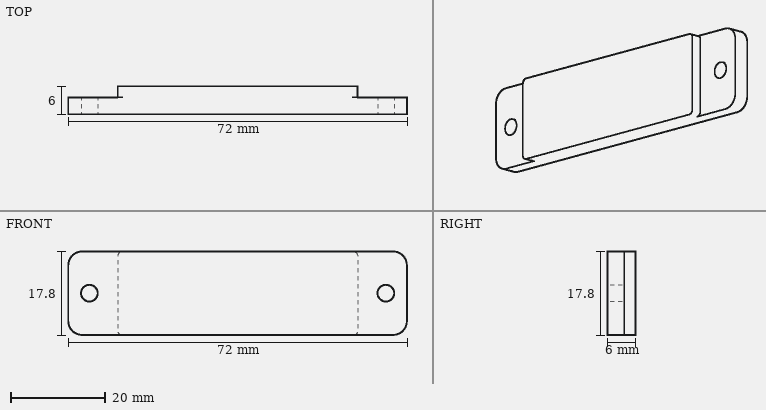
import cadquery as cq

plate_length = 72.0
plate_height = 17.8
plate_thickness = 3.6
plate_corner_radius = 3.0

total_thickness = 6.0
pad_length = 51.0
pad_corner_radius = 1.0
pad_thickness = total_thickness - plate_thickness

hole_diameter = 3.5
hole_spacing = 63.0


def rounded_slab(length, corner_radius, thickness, start_y):
    """Slab of the plate's height with rounded corners, growing toward +Y from start_y."""
    return (
        cq.Workplane("XZ", origin=(0, start_y, 0))
        .rect(length, plate_height)
        .extrude(-thickness)
        .edges("|Y")
        .fillet(corner_radius)
    )


def screw_holes():
    """Cylinders that pierce the plate at both ends."""
    return (
        cq.Workplane("XZ")
        .pushPoints([(-hole_spacing / 2, 0), (hole_spacing / 2, 0)])
        .circle(hole_diameter / 2)
        .extrude(-plate_thickness)
    )


plate = rounded_slab(plate_length, plate_corner_radius, plate_thickness, 0)
pad = rounded_slab(pad_length, pad_corner_radius, pad_thickness, plate_thickness)

result = plate.union(pad).cut(screw_holes())